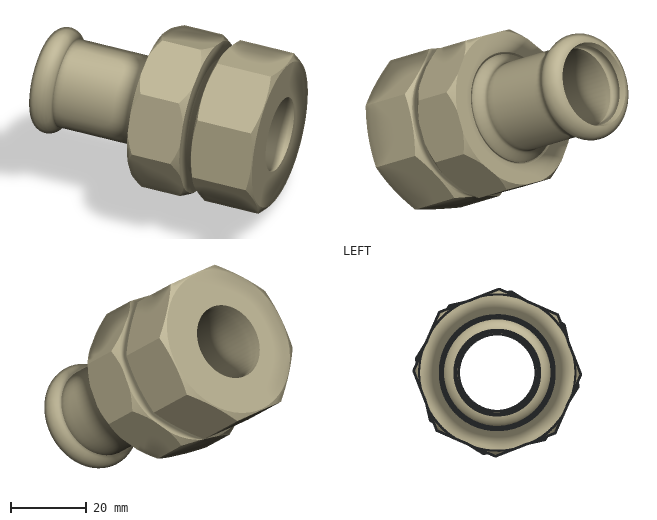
import cadquery as cq
import math


pipe_end = 28.8
nut_start = 31.7
nut_length = 15.0
nut_end = nut_start + nut_length
adaptor_head_start = 49.65
total_length = 67.21

pipe_radius = 12.1
bore_radius = 10.87
bead_radius = 3.6
bead_top_radius = bore_radius + bead_radius
groove_radius = 1.85
mouth_radius = 11.4
flare_blend_radius = 0.95
flare_angle = math.radians(45)

lip_bore_radius = 14.75
lip_countersink = 0.55
lip_length = 4.0
collar_length = 3.0
thread_radius = 16.0
lip_end = nut_start + lip_length
collar_end = lip_end + collar_length

sides = 8
nut_corner_radius = 22.3
nut_turn = 1.25
nut_face_radius = 20.8
nut_chamfer_length = 2.0
adaptor_corner_radius = 21.95
adaptor_turn = 9.63
adaptor_face_radius = 20.0
adaptor_chamfer_length = 1.1

adaptor_bore_radius = 10.2
neck_radius = 11.75
shank_taper_length = 0.95


def revolve_about_axis(profile):
    """Turn a closed (x, radius) outline about the X axis."""
    return profile.close().revolve(360, (0, 0, 0), (1, 0, 0))


def octagon_block(start, end, corner_radius, turn, face_radius, chamfer_length):
    """Octagonal prism on the X axis whose corners are turned off conically at both ends."""
    prism = (
        cq.Workplane("YZ", origin=(start, 0, 0))
        .polygon(sides, 2 * corner_radius)
        .extrude(end - start)
        .rotate((0, 0, 0), (1, 0, 0), turn)
    )
    turned_envelope = revolve_about_axis(
        cq.Workplane("XY")
        .moveTo(start, 0)
        .lineTo(start, face_radius)
        .lineTo(start + chamfer_length, corner_radius)
        .lineTo(end - chamfer_length, corner_radius)
        .lineTo(end, face_radius)
        .lineTo(end, 0)
    )
    return prism.intersect(turned_envelope)


def make_pipe():
    """Pipe with a rolled bead and seal groove at the mouth, and a flared collar inside the nut."""
    bead_x = math.sqrt(bead_radius**2 - (mouth_radius - bore_radius) ** 2)
    bead_end = bead_x + math.sqrt(bead_radius**2 - (pipe_radius - bore_radius) ** 2)
    groove_start = bead_x - groove_radius
    groove_end = bead_x + groove_radius

    blend_length = flare_blend_radius * math.sin(flare_angle)
    blend_rise = flare_blend_radius * (1 - math.cos(flare_angle))
    blend_middle = (
        pipe_end + flare_blend_radius * math.sin(flare_angle / 2),
        pipe_radius + flare_blend_radius * (1 - math.cos(flare_angle / 2)),
    )
    flare_start_radius = pipe_radius + blend_rise
    flare_end = pipe_end + blend_length + (lip_bore_radius - flare_start_radius) / math.tan(flare_angle)

    return revolve_about_axis(
        cq.Workplane("XY")
        .moveTo(0, mouth_radius)
        .threePointArc((bead_x, bead_top_radius), (bead_end, pipe_radius))
        .lineTo(pipe_end, pipe_radius)
        .threePointArc(blend_middle, (pipe_end + blend_length, flare_start_radius))
        .lineTo(flare_end, lip_bore_radius)
        .lineTo(lip_end, lip_bore_radius)
        .lineTo(lip_end, thread_radius)
        .lineTo(collar_end, thread_radius)
        .lineTo(collar_end, bore_radius)
        .lineTo(groove_end, bore_radius)
        .threePointArc((bead_x, bore_radius + groove_radius), (groove_start, bore_radius))
    )


def make_nut():
    """Union nut with an inward lip at the pipe side and a wider bore behind it."""
    block = octagon_block(
        nut_start, nut_end, nut_corner_radius, nut_turn, nut_face_radius, nut_chamfer_length
    )
    opening = revolve_about_axis(
        cq.Workplane("XY")
        .moveTo(nut_start, 0)
        .lineTo(nut_start, lip_bore_radius + lip_countersink)
        .lineTo(nut_start + lip_countersink, lip_bore_radius)
        .lineTo(lip_end, lip_bore_radius)
        .lineTo(lip_end, thread_radius)
        .lineTo(nut_end, thread_radius)
        .lineTo(nut_end, 0)
    )
    return block.cut(opening)


def make_adaptor():
    """Octagonal head with a neck and a shank that seats on the pipe collar inside the nut."""
    head = octagon_block(
        adaptor_head_start,
        total_length,
        adaptor_corner_radius,
        adaptor_turn,
        adaptor_face_radius,
        adaptor_chamfer_length,
    )
    shank = revolve_about_axis(
        cq.Workplane("XY")
        .moveTo(collar_end, 0)
        .lineTo(collar_end, thread_radius)
        .lineTo(nut_end, thread_radius)
        .lineTo(nut_end + shank_taper_length, neck_radius)
        .lineTo(adaptor_head_start, neck_radius)
        .lineTo(adaptor_head_start, 0)
    )
    bore = (
        cq.Workplane("YZ", origin=(collar_end, 0, 0))
        .circle(adaptor_bore_radius)
        .extrude(total_length - collar_end)
    )
    return head.union(shank).cut(bore)


pipe = make_pipe()
nut = make_nut()
adaptor = make_adaptor()

result = cq.Compound.makeCompound([pipe.val(), nut.val(), adaptor.val()])